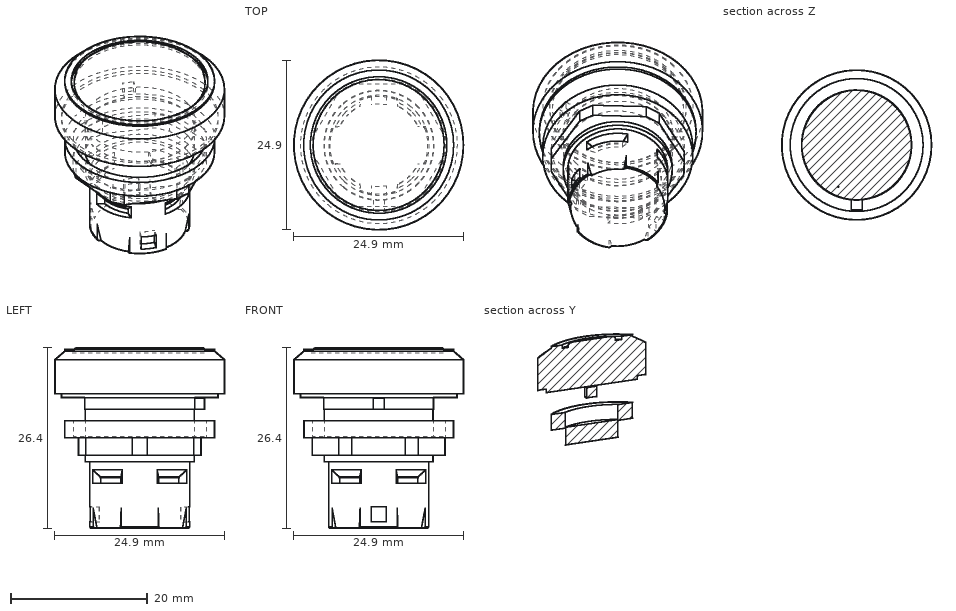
import cadquery as cq
import math

BEZEL_DIAMETER = 24.9
RIM_DIAMETER = 22.0
BEZEL_BOTTOM = 19.7
BEZEL_SHOULDER = 24.7
RIM_BOTTOM = 25.95
RIM_TOP = 26.2
RIM_BORE_DIAMETER = 20.03

CAP_DIAMETER = 19.2
CAP_TOP = 26.43
CAP_ROUND = 0.4
CAP_GROOVE_DEPTH = 0.5

GASKET_DIAMETER = 23.0
GASKET_BOTTOM = 19.15

UPPER_NECK_DIAMETER = 16.15
NECK_DIAMETER = 16.0
NECK_STEP = 17.43
NECK_BOTTOM = 9.7
TAB_WIDTH = 1.65
TAB_REACH = 9.5
TAB_TOP = 19.08

WASHER_DIAMETER = 22.0
WASHER_TOP = 15.75
WASHER_BOTTOM = 13.25
WASHER_BORE_DIAMETER = 19.5
WASHER_BORE_DEPTH = 2.3

NUT_ACROSS_FLATS = 18.0
NUT_ACROSS_CUT_CORNERS = 19.5
NUT_BOTTOM = 10.65

BODY_DIAMETER = 14.7
BODY_CHAMFER = 0.18
RECESS_ANGLES = [45, 135, 225, 315]
RECESS_SIDE_ANGLE = 56

WINDOW_WIDTH = 6.15
WINDOW_BOTTOM = 6.57
WINDOW_TOP = 8.57
WINDOW_DEPTH = 0.95
WINDOW_SLOPE_HEIGHT = 1.07
WINDOW_LIP_HEIGHT = 0.8
WINDOW_LIP = 0.05

NOTCH_WIDTH = 5.8
NOTCH_TOP = 2.95
NOTCH_DEPTH = 0.47

POCKET_SIZE = 2.22
POCKET_CENTER_Z = 2.06
POCKET_FLOOR_DIAMETER = 12.1

CLEARANCE = 1.0


def disc(diameter, bottom, top):
    """Solid cylinder on the Z axis between two heights."""
    return cq.Workplane("XY").workplane(offset=bottom).circle(diameter / 2).extrude(top - bottom)


def revolved(points):
    """Turn a closed (radius, height) outline about the Z axis."""
    return cq.Workplane("XZ").polyline(points).close().revolve(360, (0, 0, 0), (0, 1, 0))


def make_bezel():
    outline = [
        (0, BEZEL_BOTTOM),
        (BEZEL_DIAMETER / 2, BEZEL_BOTTOM),
        (BEZEL_DIAMETER / 2, BEZEL_SHOULDER),
        (RIM_DIAMETER / 2, RIM_BOTTOM),
        (RIM_DIAMETER / 2, RIM_TOP),
        (0, RIM_TOP),
    ]
    groove_floor = RIM_TOP - CAP_GROOVE_DEPTH
    bore = disc(RIM_BORE_DIAMETER, groove_floor, RIM_TOP)
    cap = disc(CAP_DIAMETER, BEZEL_BOTTOM, CAP_TOP).faces(">Z").edges().fillet(CAP_ROUND)
    return revolved(outline).cut(bore).union(cap)


def make_neck():
    neck = disc(NECK_DIAMETER, NECK_BOTTOM, NECK_STEP)
    upper_neck = disc(UPPER_NECK_DIAMETER, NECK_STEP, GASKET_BOTTOM)
    gasket = disc(GASKET_DIAMETER, GASKET_BOTTOM, BEZEL_BOTTOM)
    tab = cq.Workplane("XY").box(
        TAB_WIDTH, TAB_REACH, TAB_TOP - NECK_STEP, centered=(True, False, False)
    ).translate((0, -TAB_REACH, NECK_STEP))
    return neck.union(upper_neck).union(gasket).union(tab)


def make_washer():
    washer = disc(WASHER_DIAMETER, WASHER_BOTTOM, WASHER_TOP)
    bore = disc(WASHER_BORE_DIAMETER, WASHER_TOP - WASHER_BORE_DEPTH, WASHER_TOP)
    return washer.cut(bore)


def hexagon(across_flats, first_corner_angle):
    """Hexagonal prism as tall as the nut."""
    corner_radius = across_flats / 2 / math.cos(math.pi / 6)
    prism = cq.Workplane("XY").workplane(offset=NUT_BOTTOM).polygon(6, 2 * corner_radius)
    return prism.extrude(WASHER_BOTTOM - NUT_BOTTOM).rotate((0, 0, 0), (0, 0, 1), first_corner_angle)


def make_nut():
    return hexagon(NUT_ACROSS_FLATS, 0).intersect(hexagon(NUT_ACROSS_CUT_CORNERS, 30))


def flared_sector(width, top):
    """Prism along +X with sides that open outward, `width` wide at the body surface."""
    half = width / 2
    surface_x = math.sqrt((BODY_DIAMETER / 2) ** 2 - half**2)
    flare = math.tan(math.radians(RECESS_SIDE_ANGLE))
    inner_x = surface_x - half / flare
    outer_x = BODY_DIAMETER / 2 + CLEARANCE
    outer_half = (outer_x - inner_x) * flare
    outline = [(inner_x, 0), (outer_x, outer_half), (outer_x, -outer_half)]
    return cq.Workplane("XY").polyline(outline).close().extrude(top)


def make_window():
    """Window with a level sill, flared sides and a ceiling sloping up to the outside."""
    body_radius = BODY_DIAMETER / 2
    outer = body_radius + CLEARANCE
    floor = body_radius - WINDOW_DEPTH
    slope_start = WINDOW_TOP - WINDOW_SLOPE_HEIGHT
    ceiling_end = WINDOW_TOP + CLEARANCE * WINDOW_SLOPE_HEIGHT / WINDOW_DEPTH
    lip_top = WINDOW_BOTTOM + WINDOW_LIP_HEIGHT
    outline = [
        (floor - WINDOW_LIP, WINDOW_BOTTOM),
        (outer, WINDOW_BOTTOM),
        (outer, ceiling_end),
        (floor, slope_start),
        (floor, lip_top),
        (floor - WINDOW_LIP, lip_top),
    ]
    return revolved(outline).intersect(flared_sector(WINDOW_WIDTH, ceiling_end))


def make_notch():
    """Notch that deepens conically from its top down to the lower edge of the body."""
    body_radius = BODY_DIAMETER / 2
    outer = body_radius + CLEARANCE
    outline = [(body_radius - NOTCH_DEPTH, 0), (outer, 0), (outer, NOTCH_TOP), (body_radius, NOTCH_TOP)]
    return revolved(outline).intersect(flared_sector(NOTCH_WIDTH, NOTCH_TOP))


def make_pockets():
    """Square pockets on opposite sides, ending on a round core."""
    bar = cq.Workplane("XY").box(POCKET_SIZE, BODY_DIAMETER + CLEARANCE, POCKET_SIZE)
    core = disc(POCKET_FLOOR_DIAMETER, 0, NECK_BOTTOM)
    return bar.translate((0, 0, POCKET_CENTER_Z)).cut(core)


def make_lower_body():
    body = disc(BODY_DIAMETER, 0, NECK_BOTTOM).faces("<Z").edges().chamfer(BODY_CHAMFER)
    for recess in (make_window(), make_notch()):
        for angle in RECESS_ANGLES:
            body = body.cut(recess.rotate((0, 0, 0), (0, 0, 1), angle))
    return body.cut(make_pockets())


result = (
    make_lower_body()
    .union(make_neck())
    .union(make_nut())
    .union(make_washer())
    .union(make_bezel())
)